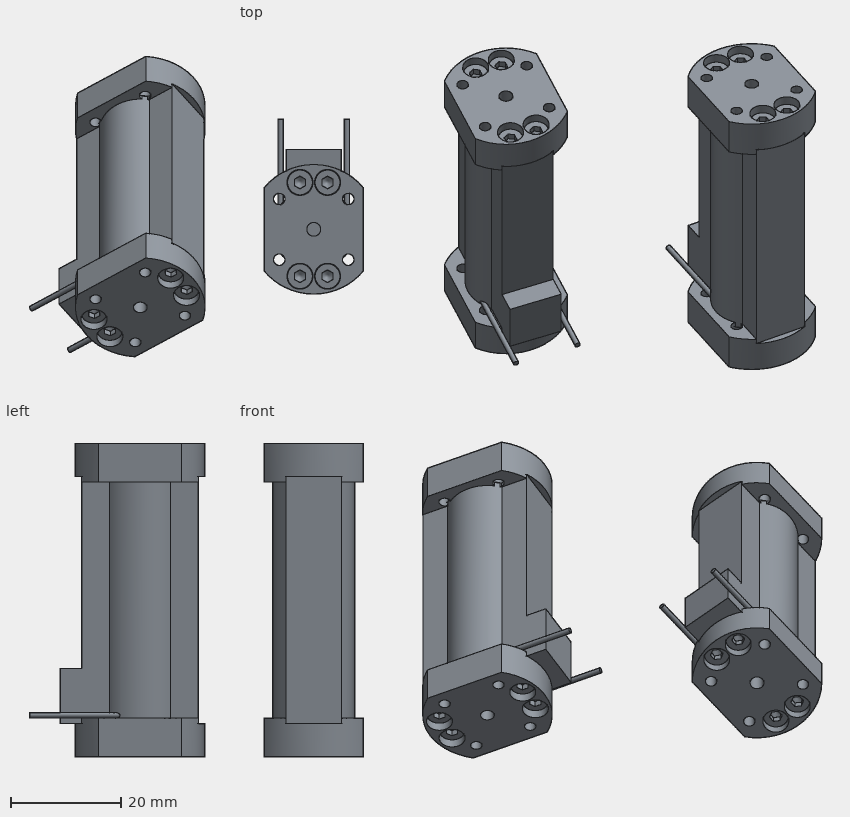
import cadquery as cq
import math

overall_height = 56.8
cap_height = 7.0
cap_width = 18.0
cap_diameter = 23.5

seat_depth = 1.0
slot_width = 10.1

barrel_diameter = 14.9
block_width = 10.0
block_depth = 21.2
connector_reach = 14.5
connector_height = 10.0
wire_diameter = 1.0
wire_spacing = 12.0
wire_reach = 20.0

center_hole_diameter = 2.5
mount_hole_diameter = 2.05
mount_hole_spacing_x = 12.5
mount_hole_spacing_y = 11.0

screw_spacing_x = 5.0
screw_spacing_y = 17.0
counterbore_diameter = 4.7
counterbore_depth = 1.65
screw_head_diameter = 4.5
screw_head_height = 2.5
socket_across_flats = 2.0
socket_depth = 1.2
socket_tip_angle = 120.0
socket_turn = 30.0

motor_bottom = cap_height - seat_depth
motor_length = overall_height - 2 * motor_bottom


def make_motor():
    """Round barrel crossed by a flat-sided block, with a connector and two wires on the +Y side."""
    base = cq.Workplane("XY", origin=(0, 0, motor_bottom))
    barrel = base.circle(barrel_diameter / 2).extrude(motor_length)
    block = base.rect(block_width, block_depth).extrude(motor_length)
    connector = base.box(block_width, connector_reach, connector_height, centered=(True, False, False))
    motor = barrel.union(block).union(connector)

    wire_height = cap_height + wire_diameter / 2
    for side in (-1, 1):
        wire = (
            cq.Workplane("XZ", origin=(side * wire_spacing / 2, 0, wire_height))
            .circle(wire_diameter / 2)
            .extrude(-wire_reach)
        )
        motor = motor.union(wire)
    return motor


def make_screw_pocket():
    """Space left open around and inside a sunk screw head, with the cap's outer face at z = 0."""
    pocket_depth = counterbore_depth + screw_head_height
    pocket = cq.Workplane("XY").circle(counterbore_diameter / 2).extrude(-pocket_depth)
    head = (
        cq.Workplane("XY")
        .workplane(offset=-counterbore_depth)
        .circle(screw_head_diameter / 2)
        .extrude(-screw_head_height)
    )
    socket_corner_radius = socket_across_flats / 2 / math.cos(math.pi / 6)
    socket = (
        cq.Workplane("XY")
        .workplane(offset=-counterbore_depth)
        .polygon(6, 2 * socket_corner_radius)
        .extrude(-socket_depth)
        .rotate((0, 0, 0), (0, 0, 1), socket_turn)
    )
    tip_length = socket_corner_radius / math.tan(math.radians(socket_tip_angle / 2))
    tip = cq.Workplane(
        cq.Solid.makeCone(
            socket_corner_radius,
            0,
            tip_length,
            pnt=cq.Vector(0, 0, -counterbore_depth - socket_depth),
            dir=cq.Vector(0, 0, -1),
        )
    )
    hexagon_prism = socket.translate((0, 0, -socket_depth))
    return pocket.cut(head).union(socket).union(tip.intersect(hexagon_prism))


def make_top_cap():
    """Disc with two flats, recessed underneath for the motor, with its holes and screw heads."""
    base = cq.Workplane("XY", origin=(0, 0, overall_height - cap_height))
    cap = base.circle(cap_diameter / 2).extrude(cap_height)
    flats = base.rect(cap_width, cap_diameter).extrude(cap_height)
    cap = cap.intersect(flats)

    seat = base.circle(barrel_diameter / 2).extrude(seat_depth)
    slot = base.rect(slot_width, cap_diameter).extrude(seat_depth)
    cap = cap.cut(seat.union(slot))

    cap = cap.faces(">Z").workplane(origin=(0, 0, overall_height)).hole(center_hole_diameter)
    cap = (
        cap.faces(">Z")
        .workplane(origin=(0, 0, overall_height))
        .rarray(mount_hole_spacing_x, mount_hole_spacing_y, 2, 2)
        .hole(mount_hole_diameter)
    )

    screw_pocket = make_screw_pocket()
    for side_x in (-1, 1):
        for side_y in (-1, 1):
            place = (side_x * screw_spacing_x / 2, side_y * screw_spacing_y / 2, overall_height)
            cap = cap.cut(screw_pocket.translate(place))
    return cap


motor = make_motor()
top_cap = make_top_cap()
bottom_cap = top_cap.mirror("XY", (0, 0, overall_height / 2))

bodies = [motor, top_cap, bottom_cap]
result = cq.Compound.makeCompound([body.solids().val() for body in bodies])